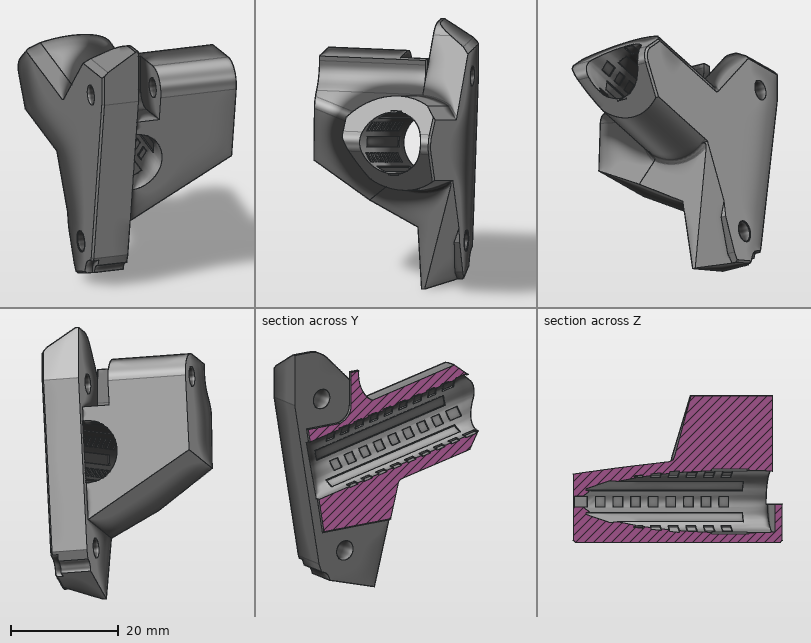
import cadquery as cq
import math

plate_thickness = 7.15
part_depth = 27.25
part_height = 47.6
plate_right = 44.0
right_knee_z = 37.95
right_foot = (38.55, 6.45)
right_foot_end = (37.9, 4.7)
foot_right = (37.9, 3.43)
foot_left = (26.07, 0.0)
left_top = (18.18, 29.98)
shoulder_rise = 9.25
shoulder_foot = (20.55, 20.55 + shoulder_rise)
shoulder_radius = 5.7
edge_chamfer = 0.4
top_bevel = [(0.0, 43.15), (1.1, 44.25), (6.55, part_height)]

plate_taper = [(20.25, 0.0, 22.15), (31.6, 0.0, 1.45), (25.65, 6.05, 1.65)]

lip_outline = [(25.9, 11.9), (26.45, 9.05), (29.35, 2.85), (30.45, 1.3), (33.3, 2.1), (33.3, 11.9)]
lip_thickness = 1.6

mount_hole_diameter = 3.7
hole_chamfer = 0.15
upper_hole = (37.95, 38.2)
lower_hole = (32.75, 8.15)
corner_hole = (38.15, 2.8)
corner_hole_radius = 2.0
corner_recess_radius = 3.15
corner_recess_depth = 1.45

boss_radius = 4.25
boss_top = upper_hole[1] + boss_radius
ledge_x = 29.95
ledge_bottom = 41.6
cove_middle = (29.25, 38.83)
cove_end_x = 27.25
rear_round_radius = 2.85
block_taper = [(25.35, part_depth, 33.05), (24.9, part_depth, 23.8), (20.6, 12.1, 20.45)]
notch_wall = 31.75
notch_floor = 33.0
notch_radius = 3.0
notch_end = 12.28
block_bottom_front = 12.35
block_bottom_rear = 23.8

arm_tilt = 11.4
arm_shoulder = (6.7, 31.5)
arm_length = 21.4
arm_half_width = 8.7
arm_depth = 16.7
tip_half_angle = 48.5
tip_radius = 2.75
lower_blend_radius = 0.95
upper_blend_radius = 0.48
bore_y = 7.6
bore_radius = 5.75
bore_length = 34.25

row_count = 6
pocket_count = 8
pocket_pitch = 3.35
pocket_start = 1.8
pocket_length = 1.8
end_pocket_start = -2.35
end_pocket_length = 2.6
recess_width = 1.95
recess_depth = 0.25
groove_length = 29.5

large = 142.75


def along_y(sketch_plane_y):
    """Workplane with local axes (X, Z); negative extrusions go towards +Y."""
    return cq.Workplane("XZ", origin=(0, sketch_plane_y, 0))


def cylinder_y(center, radius, y_start, y_end):
    return along_y(y_start).center(*center).circle(radius).extrude(y_start - y_end)


def beyond(a, b, c, outward):
    """Half space on the outward side of the plane through three points."""
    origin = cq.Vector(*a)
    edge = cq.Vector(*b) - origin
    normal = edge.cross(cq.Vector(*c) - origin)
    if normal.dot(cq.Vector(*outward)) < 0:
        normal = normal * -1
    plane = cq.Plane(origin=origin, xDir=edge, normal=normal)
    return cq.Workplane(plane).rect(large, large).extrude(large)


def edges_near(body, points):
    """Edges of the body lying closest to the given points."""
    edges = body.edges().vals()
    vertices = [cq.Vertex.makeVertex(*point) for point in points]
    return [min(edges, key=lambda edge: edge.distance(vertex)) for vertex in vertices]


def fillet_near(body, radius, points):
    return cq.Workplane(body.val().fillet(radius, edges_near(body, points)))


def chamfer_near(body, size, points):
    return cq.Workplane(body.val().chamfer(size, None, edges_near(body, points)))


def make_plate():
    shoulder_top = (part_height - shoulder_rise, part_height)
    plate = (
        along_y(0)
        .moveTo(*foot_left)
        .lineTo(*left_top)
        .lineTo(*shoulder_foot)
        .lineTo(*shoulder_top)
        .lineTo(plate_right, part_height)
        .lineTo(plate_right, right_knee_z)
        .lineTo(*right_foot)
        .lineTo(*right_foot_end)
        .lineTo(*foot_right)
        .close()
        .extrude(-plate_thickness)
    )
    plate = fillet_near(plate, shoulder_radius, [(shoulder_top[0], plate_thickness / 2, part_height)])
    bevel_start, bevel_break, bevel_end = top_bevel
    top_step = beyond((0, *bevel_start), (0.48, *bevel_start), (0, *bevel_break), (0, -1, 1))
    top_slope = beyond((0, *bevel_break), (0.48, *bevel_break), (0, *bevel_end), (0, -1, 1))
    return plate.cut(top_step).cut(top_slope)


def make_left_taper():
    """Material removed where the lower left side tapers from the front face to the left edge."""
    taper = beyond(*plate_taper, (-1, -1, 0))
    lip = along_y(0).polyline(lip_outline).close().extrude(-lip_thickness)
    return taper.cut(lip).cut(make_arm())


def make_block():
    right_lean = math.atan2(plate_right - right_foot[0], right_knee_z - right_foot[1])
    lean_x, lean_z = math.sin(right_lean), math.cos(right_lean)
    boss_x, boss_z = upper_hole
    boss_tangent = (boss_x + boss_radius * lean_z, boss_z - boss_radius * lean_x)
    boss_side = (boss_x + boss_radius * math.sqrt(0.5), boss_z + boss_radius * math.sqrt(0.5))
    right_end = (boss_tangent[0] - boss_tangent[1] * lean_x / lean_z, 0)
    block = (
        along_y(plate_thickness)
        .moveTo(*foot_left)
        .lineTo(*left_top)
        .lineTo(*shoulder_foot)
        .lineTo(cove_end_x, cove_end_x + shoulder_rise)
        .threePointArc(cove_middle, (ledge_x, ledge_bottom))
        .lineTo(ledge_x, boss_top)
        .lineTo(boss_x, boss_top)
        .threePointArc(boss_side, boss_tangent)
        .lineTo(*right_end)
        .close()
        .extrude(plate_thickness - part_depth)
    )
    underside = beyond(
        (0, plate_thickness, block_bottom_front),
        (0.48, plate_thickness, block_bottom_front),
        (0, part_depth, block_bottom_rear),
        (0, 0, -1),
    )
    left_taper = beyond(*block_taper, (-1, 0, 0))
    notch = (
        along_y(plate_thickness)
        .moveTo(plate_right, notch_floor)
        .lineTo(notch_wall + notch_radius, notch_floor)
        .tangentArcPoint((-notch_radius, notch_radius))
        .lineTo(notch_wall, part_height)
        .lineTo(plate_right, part_height)
        .close()
        .extrude(plate_thickness - notch_end)
    )
    block = block.cut(underside).cut(left_taper)
    block = fillet_near(block, rear_round_radius, [(23.9, 21.9, 33.1)])
    return block.cut(notch)


def arm_plane(distance):
    """Section plane across the arm: local x is Y, local y points up across the axis."""
    tilt = math.radians(arm_tilt)
    axis = (math.cos(tilt), 0, -math.sin(tilt))
    origin = (
        arm_shoulder[0] + distance * axis[0],
        0,
        arm_shoulder[1] + distance * axis[2],
    )
    return cq.Plane(origin=origin, xDir=(0, 1, 0), normal=axis)


def make_arm():
    tip_reach = arm_half_width / math.tan(math.radians(tip_half_angle))
    front_low, front_high = (0, -6.6), (0, 4.6)
    bevel_high = (1.95, 7.15)
    back_high, back_low = (arm_depth, 4.42), (arm_depth, 0.65)
    corner_low = (12.15, -6.85)
    arm = (
        cq.Workplane(arm_plane(-tip_reach))
        .moveTo(*front_low)
        .lineTo(*front_high)
        .lineTo(*bevel_high)
        .threePointArc((7.85, arm_half_width), back_high)
        .lineTo(*back_low)
        .threePointArc((15.5, -1.75), corner_low)
        .threePointArc((6.3, -arm_half_width), front_low)
        .close()
        .extrude(tip_reach + arm_length)
    )
    clearance = 1.2
    side_height = clearance * arm_half_width
    side_reach = clearance * tip_reach
    side = cq.Plane(
        origin=(arm_shoulder[0], 0, arm_shoulder[1]),
        xDir=arm_plane(0).zDir.toTuple(),
        normal=(0, -1, 0),
    )
    outline = (
        cq.Workplane(side)
        .moveTo(-tip_reach, 0)
        .line(side_reach, side_height)
        .lineTo(arm_length, side_height)
        .lineTo(arm_length, -side_height)
        .lineTo(side_reach - tip_reach, -side_height)
        .close()
        .extrude(-arm_depth)
    )
    tip_point = arm_plane(-tip_reach).toWorldCoords((arm_depth / 2, 0, 0))
    outline = fillet_near(outline, tip_radius, [tip_point.toTuple()])
    return arm.intersect(outline)


def bore_recess(angle, start, length):
    """Bar along the bore that reaches slightly past its wall."""
    height = 4 * recess_depth
    return (
        cq.Workplane(arm_plane(start))
        .center(bore_y, 0)
        .transformed(rotate=(0, 0, angle))
        .center(bore_radius + recess_depth - height / 2, 0)
        .rect(height, recess_width)
        .extrude(length)
    )


def make_bore():
    bore_start = -9.5
    blind = (
        cq.Workplane(arm_plane(bore_start))
        .center(bore_y, 0)
        .circle(bore_radius)
        .extrude(bore_length - bore_start)
    )
    open_end = cq.Workplane(arm_plane(0)).center(bore_y, 0).circle(bore_radius).extrude(large)
    behind_plate = cq.Workplane("XY").box(large, large, large).translate((0, plate_thickness + large / 2, 0))
    bore = blind.union(open_end.intersect(behind_plate))
    row_step = 360 / row_count
    for row in range(row_count):
        pocket_angle = 90 + row * row_step
        bore = bore.union(bore_recess(pocket_angle + row_step / 2, 0, groove_length))
        bore = bore.union(bore_recess(pocket_angle, end_pocket_start, end_pocket_length))
        for index in range(pocket_count):
            start = pocket_start + index * pocket_pitch
            bore = bore.union(bore_recess(pocket_angle, start, pocket_length))
    return bore


def make_holes():
    radius = mount_hole_diameter / 2
    return (
        cylinder_y(upper_hole, radius, -0.48, part_depth + 0.48)
        .union(cylinder_y(lower_hole, radius, -0.48, part_depth + 0.48))
        .union(cylinder_y(corner_hole, corner_hole_radius, -0.48, part_depth + 0.48))
        .union(cylinder_y(corner_hole, corner_recess_radius, -0.48, corner_recess_depth))
    )


def make_body():
    """Plate, block and arm blended together."""
    block = make_block()
    above_shoulder = beyond((0, 0, shoulder_rise), (0, 0.48, shoulder_rise), (0.48, 0, 0.48 + shoulder_rise), (-1, 0, 1))
    body = make_plate().union(block.cut(above_shoulder)).union(make_arm())
    lower_joint = [(20.95, 6.2, 20), (20.5, 11.9, 21.55), (21.4, 14.27, 25.2)]
    upper_joint = [(26.15, 8.55, 35.7), (24.75, 0.95, 33.92)]
    body = fillet_near(body, lower_blend_radius, lower_joint)
    body = fillet_near(body, upper_blend_radius, upper_joint)
    return body.union(block).cut(make_left_taper())


def chamfer_front(body):
    """Bevel the front rim along the arm tip, the right side and the foot."""
    arm_tip = [(1.9, 0, 28.05), (0, 0, 32.85), (2.6, 0, 35.7)]
    right_side = [(plate_right, 0, 40.45), (41.4, 0, 22.35), (38.2, 0, 5.55)]
    foot = [(34.25, 0, 2.4)]
    return chamfer_near(body, edge_chamfer, arm_tip + right_side + foot)


drilled = chamfer_front(make_body()).cut(make_bore()).cut(make_holes())
lower_hole_rim = (lower_hole[0] - mount_hole_diameter / 2, 0, lower_hole[1])
result = chamfer_near(drilled, hole_chamfer, [lower_hole_rim])